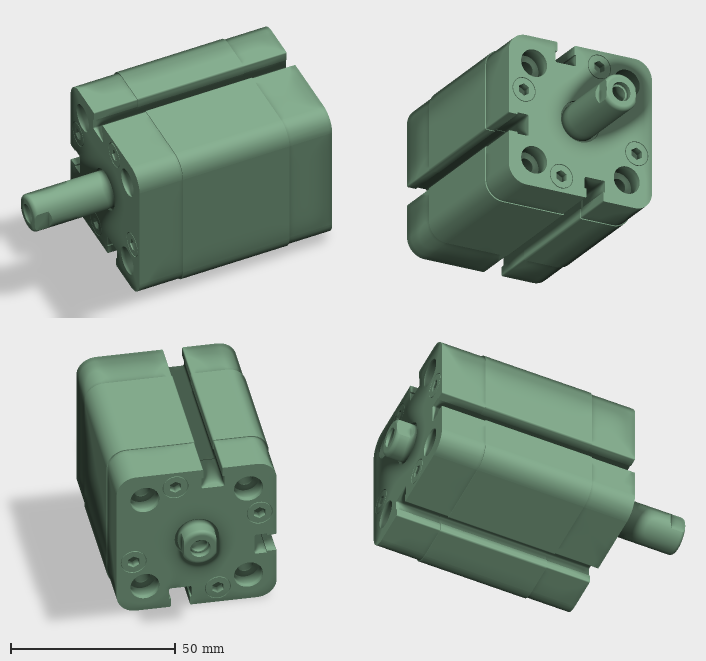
import cadquery as cq
import math


barrel_side = 50.1
cap_side = 49.5
corner_radius = 6.0
barrel_length = 35.6
cap_length = 14.5
body_length = barrel_length + 2 * cap_length
body_front = -body_length / 2

slot_offset = 5.0
slot_mouth = 5.5
slot_width = 6.7
slot_lip_level = 21.7
slot_floor_level = 18.1
slot_flare_width = 6.7
slot_corner_radius = 0.5
cap_slot_clearance = 0.2

rod_diameter = 12.0
rod_front_reach = 26.0
rod_back_reach = 6.0
rod_end_radius = 1.3
flats_width = 10.0
flats_length = 4.5
core_diameter = 4.9
thread_diameter = 6.3
thread_depth = 2.0
core_depth = 11.6
drill_point_angle = 118.0
rod_recess_diameter = 13.6
rod_recess_depth = 1.0

mount_spacing = 32.0
mount_diameter = 4.9
counterbore_diameter = 9.0
counterbore_depth = 5.5

screw_near = 6.6
screw_far = 19.5
screw_seat_diameter = 8.0
screw_head_diameter = 7.5
screw_gap_depth = 0.5
hex_across_flats = 3.5
hex_depth = 2.9


def plane_at(y):
    """Sketch plane facing -Y, with X to the right and Z up; negative lengths extrude toward +Y."""
    return cq.Workplane("XZ", origin=(0, y, 0))


def quarter_turn(shape, turns):
    """Turn a shape about the rod axis, the first turn taking the top side to the -X side."""
    return shape.rotate((0, 0, 0), (0, 1, 0), -90 * turns)


def slot(side, y_start, length, clearance):
    """Cutter for the T-slot in the top face of a section, with walls and floor set back by a clearance."""
    top = side / 2
    mouth = slot_mouth / 2 + clearance
    flared = slot_flare_width / 2
    wide = slot_width / 2 + clearance
    floor = slot_floor_level - clearance
    edge = flared - mouth
    corner = slot_corner_radius
    profile = (
        plane_at(y_start)
        .center(-slot_offset, 0)
        .moveTo(0, top)
        .lineTo(flared, top)
        .radiusArc((mouth, top - edge), -edge)
        .lineTo(mouth, slot_lip_level)
        .lineTo(wide, slot_lip_level)
        .lineTo(wide, floor + corner)
        .radiusArc((wide - corner, floor), corner)
        .lineTo(0, floor)
        .mirrorY()
    )
    return profile.extrude(-length)


def section(side, y_start, length, slot_clearance):
    """Rounded square length of the body with slots in its top, -X and bottom faces."""
    block = plane_at(y_start).rect(side, side).extrude(-length).edges("|Y").fillet(corner_radius)
    cutter = slot(side, y_start, length, slot_clearance)
    for turns in range(3):
        block = block.cut(quarter_turn(cutter, turns))
    return block


def counterbores():
    """Counterbores of the four mounting holes in the front cap."""
    return (
        plane_at(body_front)
        .rect(mount_spacing, mount_spacing, forConstruction=True)
        .vertices()
        .circle(counterbore_diameter / 2)
        .extrude(-counterbore_depth)
    )


def screw_recess(x, z):
    """Gap around a flush screw head and its upright hexagon socket, at a place on the front cap."""
    face = plane_at(body_front).center(x, z)
    gap = face.circle(screw_seat_diameter / 2).circle(screw_head_diameter / 2).extrude(-screw_gap_depth)
    hex_diameter = hex_across_flats / math.cos(math.pi / 6)
    socket = face.transformed(rotate=(0, 0, 90)).polygon(6, hex_diameter).extrude(-hex_depth)
    return gap.union(socket)


def front_cap_cuts():
    """Everything sunk into the outer face of the front cap."""
    cuts = plane_at(body_front).circle(rod_recess_diameter / 2).extrude(-rod_recess_depth)
    cuts = cuts.union(counterbores())
    for sign in (1, -1):
        cuts = cuts.union(screw_recess(sign * screw_near, sign * screw_far))
        cuts = cuts.union(screw_recess(-sign * screw_far, sign * screw_near))
    return cuts


def front_rod(reach):
    """Front half of the rod: rounded end, two wrench flats and a threaded hole."""
    tip = body_front - reach
    rod = plane_at(0).circle(rod_diameter / 2).extrude(-tip)
    rod = rod.faces("<Y").edges().fillet(rod_end_radius)

    flat = flats_width / 2
    runout = (rod_diameter - flats_width) / 2
    flat_end = tip + flats_length
    flat_outline = [
        (flat, tip),
        (flat, flat_end),
        (flat + runout, flat_end + runout),
        (flat + runout, tip),
    ]
    flat_cut = cq.Workplane("XY").polyline(flat_outline).close().extrude(rod_diameter / 2, both=True)
    rod = rod.cut(flat_cut).cut(flat_cut.mirror("YZ"))

    thread = thread_diameter / 2
    core = core_diameter / 2
    drill_point = core / math.tan(math.radians(drill_point_angle / 2))
    hole_outline = [
        (0, tip),
        (thread, tip),
        (thread, tip + thread_depth),
        (core, tip + thread_depth),
        (core, tip + core_depth),
        (0, tip + core_depth + drill_point),
    ]
    hole = cq.Workplane("XY").polyline(hole_outline).close().revolve(360, (0, 0, 0), (0, 1, 0))
    return rod.cut(hole)


body = section(barrel_side, -barrel_length / 2, barrel_length, 0)
body = body.union(section(cap_side, body_front, cap_length, cap_slot_clearance))
body = body.union(section(cap_side, barrel_length / 2, cap_length, cap_slot_clearance))

cap_cuts = front_cap_cuts()
body = body.cut(cap_cuts).cut(cap_cuts.mirror("XZ"))

mount_holes = (
    plane_at(body_front)
    .rect(mount_spacing, mount_spacing, forConstruction=True)
    .vertices()
    .circle(mount_diameter / 2)
    .extrude(-body_length)
)
body = body.cut(mount_holes)

result = body.union(front_rod(rod_front_reach)).union(front_rod(rod_back_reach).mirror("XZ"))